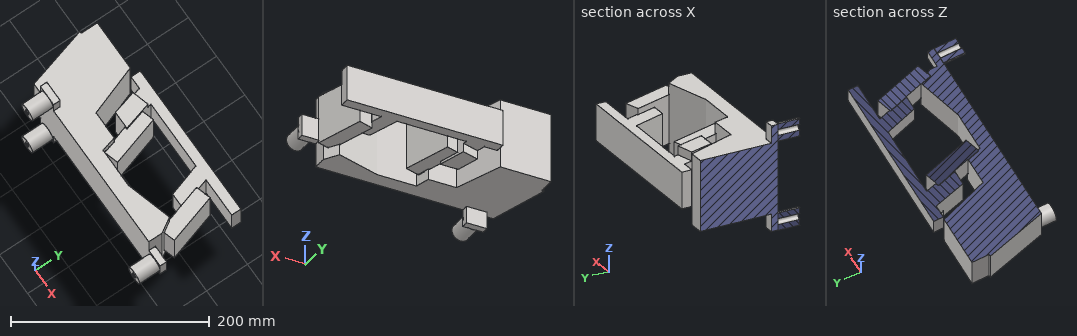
import cadquery as cq


total_length = 244.0
housing_height = 80.0
housing_end_x = 224.0
tower_top_y = 89.8
shelf_y = 34.2
floor_y = 17.3
tower_ledge_y = 70.0

lug_thickness = 8.0
side_lug_start_x = 31.2
side_lug_length = 23.7
side_lug_reach_z = 59.5
end_lug_length = total_length - housing_end_x
end_lug_height = 25.4
post_diameter = 20.0
post_length = 25.0
post_hole_diameter = 6.0
side_post_x = 44.0
side_post_z = (housing_height + post_diameter) / 2
end_post_x = housing_end_x + post_diameter / 2

block_width = 17.5
block_length = 58.0
block_height = 55.1
block_tilt = 16.9
block_corner_y = 80.0
block_corners_x = [116.1, 217.0]

plate_start_x = 63.7
plate_end_x = 242.5
plate_top_y = 100.0
plate_thickness = 11.5
plate_height = 41.5
plate_bottom_y = plate_top_y - plate_thickness
leg_bottom_y = 52.2
first_leg_x = 78.5
first_leg_width = 20.5
first_leg_lean = 10.2
second_leg_x = 178.9
second_leg_width = 18.0
second_leg_lean = 11.5
jaw_height = 61.5
jaw_left_y = 78.8
jaw_right_y = 84.2


def prism(points, height):
    """Extrude an XY outline by equal amounts above and below Z = 0."""
    return cq.Workplane("XY").polyline(points).close().extrude(height / 2, both=True)


def make_box(start, size):
    """Box from its lowest corner and its X, Y and Z sizes."""
    return cq.Workplane("XY").box(*size, centered=False).translate(start)


def make_block(corner_x):
    """Tilted block, placed by its upper right corner."""
    block = prism(
        [(0, 0), (-block_width, 0), (-block_width, -block_length), (0, -block_length)],
        block_height,
    )
    block = block.rotate((0, 0, 0), (0, 0, 1), block_tilt)
    return block.translate((corner_x, block_corner_y, 0))


def make_housing(blocks):
    """Stepped body with three lugs, recessed where the blocks enter it."""
    outline = [
        (19.8, 0),
        (0, tower_ledge_y),
        (2.5, tower_ledge_y),
        (2.5, tower_top_y),
        (61.0, tower_top_y),
        (80.8, shelf_y),
        (113.2, shelf_y),
        (117.5, floor_y),
        (162.7, floor_y),
        (214.0, 32.2),
        (housing_end_x, 16.3),
        (housing_end_x, 0),
    ]
    side_lugs = make_box(
        (side_lug_start_x, 0, -side_lug_reach_z),
        (side_lug_length, lug_thickness, 2 * side_lug_reach_z),
    )
    end_lug = make_box(
        (housing_end_x, 0, -end_lug_height / 2),
        (end_lug_length, lug_thickness, end_lug_height),
    )
    housing = prism(outline, housing_height).union(side_lugs).union(end_lug)
    for block in blocks:
        housing = housing.cut(block)
    return housing


def make_leg(top_x, width, lean):
    """Slanted leg hanging from the underside of the plate."""
    return prism(
        [
            (top_x, plate_bottom_y),
            (top_x + width, plate_bottom_y),
            (top_x + width + lean, leg_bottom_y),
            (top_x + lean, leg_bottom_y),
        ],
        plate_height,
    )


def make_jaw():
    """Taller lower part of the first leg, with a sloping upper end."""
    lean_per_y = first_leg_lean / (plate_bottom_y - leg_bottom_y)
    right_x = first_leg_x + first_leg_width
    return prism(
        [
            (first_leg_x + (plate_bottom_y - jaw_left_y) * lean_per_y, jaw_left_y),
            (right_x + (plate_bottom_y - jaw_right_y) * lean_per_y, jaw_right_y),
            (right_x + first_leg_lean, leg_bottom_y),
            (first_leg_x + first_leg_lean, leg_bottom_y),
        ],
        jaw_height,
    )


def make_carrier(blocks):
    """Plate, legs and jaw in one piece, recessed where the blocks seat."""
    carrier = make_box(
        (plate_start_x, plate_bottom_y, -plate_height / 2),
        (plate_end_x - plate_start_x, plate_thickness, plate_height),
    )
    carrier = carrier.union(make_leg(first_leg_x, first_leg_width, first_leg_lean))
    carrier = carrier.union(make_leg(second_leg_x, second_leg_width, second_leg_lean))
    carrier = carrier.union(make_jaw())
    for block in blocks:
        carrier = carrier.cut(block)
    return carrier


def make_post(x, z):
    """Round post with a bore along its length, standing on a lug in -Y."""
    post = (
        cq.Workplane("XZ")
        .circle(post_diameter / 2)
        .circle(post_hole_diameter / 2)
        .extrude(post_length)
    )
    return post.translate((x, 0, z))


blocks = [make_block(x) for x in block_corners_x]
housing = make_housing(blocks)
carrier = make_carrier(blocks)
post_places = [(side_post_x, side_post_z), (side_post_x, -side_post_z), (end_post_x, 0)]
posts = [make_post(x, z) for x, z in post_places]

result = cq.Compound.makeCompound(
    [housing.val(), carrier.val()]
    + [block.val() for block in blocks]
    + [post.val() for post in posts]
)